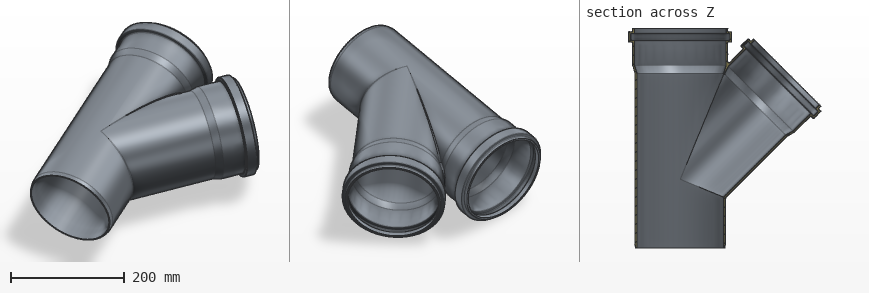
import cadquery as cq
import math

pipe_outer = 160.3
pipe_wall = 4.0
pipe_inner = pipe_outer - 2 * pipe_wall
socket_wall = 3.5
socket_root_inner = 160.7
socket_mouth_inner = 161.1
bead_outer = 181.4

branch_angle = 45.0
total_length = 387.0
socket_reach = 265.6
spigot_length = total_length - socket_reach

bead_top_depth = 6.0
bead_width = 18.6
bead_blend = 1.0
socket_depth = 65.5
cone_length = 14.0
root_position = socket_reach - socket_depth
bead_top = socket_reach - bead_top_depth
bead_bottom = bead_top - bead_width
bead_middle = bead_top - bead_width / 2

bevel_length = 7.0
bevel_angle = 15.0
bevel_depth = bevel_length * math.tan(math.radians(bevel_angle))

joint_blend = 2.0
joint_blend_start = 20.0

tolerance = 0.01


def socket_radius(position):
    """Inner radius of the slightly flared socket at a position along its axis."""
    flare = (socket_mouth_inner - socket_root_inner) / 2
    return socket_root_inner / 2 + flare * (position - root_position) / socket_depth


def socket_profile(pipe_radius, wall):
    """Half-section points from the pipe to the mouth.

    A wall of zero gives the inside, where the bead becomes a narrower groove.
    """
    inset = socket_wall - wall
    bead_radius = bead_outer / 2 - inset
    lower_shoulder = bead_bottom + inset
    upper_shoulder = bead_top - inset
    return [
        (pipe_radius, root_position - cone_length),
        (socket_radius(root_position) + wall, root_position),
        (socket_radius(lower_shoulder) + wall, lower_shoulder),
        (bead_radius, lower_shoulder),
        (bead_radius, upper_shoulder),
        (socket_radius(upper_shoulder) + wall, upper_shoulder),
        (socket_radius(socket_reach) + wall, socket_reach),
    ]


def is_bead_edge(edge):
    """True for the circles at the corners and roots of the bead or its groove."""
    is_within_bead = abs(edge.Center().y - bead_middle) < bead_width / 2 + tolerance
    return edge.geomType() == "CIRCLE" and is_within_bead


def pipe_solid(pipe_end, pipe_radius, wall):
    """Solid about Y from the pipe end outline up to the mouth, with a blended bead."""
    outline = pipe_end + socket_profile(pipe_radius, wall)
    points = [(0, outline[0][1])] + outline + [(0, socket_reach)]
    body = cq.Workplane("XY").polyline(points).close().revolve(360, (0, 0, 0), (0, 1, 0))
    return body.newObject(body.edges().filter(is_bead_edge).vals()).fillet(bead_blend)


def main_outside():
    """Outside of the main pipe, with its seam turned away from the branch."""
    radius = pipe_outer / 2
    bevelled_end = [
        (radius - bevel_depth, -spigot_length),
        (radius, bevel_length - spigot_length),
    ]
    return pipe_solid(bevelled_end, radius, socket_wall).rotate((0, 0, 0), (0, 1, 0), 180)


def main_bore():
    radius = pipe_inner / 2
    return pipe_solid([(radius, -spigot_length)], radius, 0)


def branch_solid(pipe_diameter, wall):
    """Branch envelope, starting at the axis crossing and leaning towards +X."""
    radius = pipe_diameter / 2
    upright = pipe_solid([(radius, 0)], radius, wall)
    return upright.rotate((0, 0, 0), (0, 0, 1), -branch_angle)


def blend_joint(body, direction):
    """Fillet the joint line that runs from the crossing point at an angle to +X."""
    size = 2 * total_length
    along = cq.Vector(math.cos(math.radians(direction)), math.sin(math.radians(direction)), 0)
    across = cq.Vector(-along.y, along.x, 0)

    def is_joint_edge(edge):
        middle = edge.positionAt(0.4)
        is_on_joint_plane = abs(middle.dot(across)) < tolerance
        is_past_start = middle.dot(along) > joint_blend_start + tolerance
        return is_on_joint_plane and is_past_start and edge.geomType() != "LINE"

    far_side = (
        cq.Workplane("XY")
        .box(size, size, size)
        .translate((joint_blend_start + size / 2, 0, 0))
        .rotate((0, 0, 0), (0, 0, 1), direction)
    )
    joined = body.intersect(far_side)
    joint_edges = joined.edges().filter(is_joint_edge).vals()
    blended = joined.newObject(joint_edges).fillet(joint_blend)
    return blended.union(body.cut(far_side)).clean()


outside = main_outside().union(branch_solid(pipe_outer, socket_wall))

acute_joint = 90 - branch_angle / 2
obtuse_joint = acute_joint - 90
outside = blend_joint(outside, acute_joint)
outside = blend_joint(outside, obtuse_joint)

result = outside.cut(main_bore()).cut(branch_solid(pipe_inner, 0))